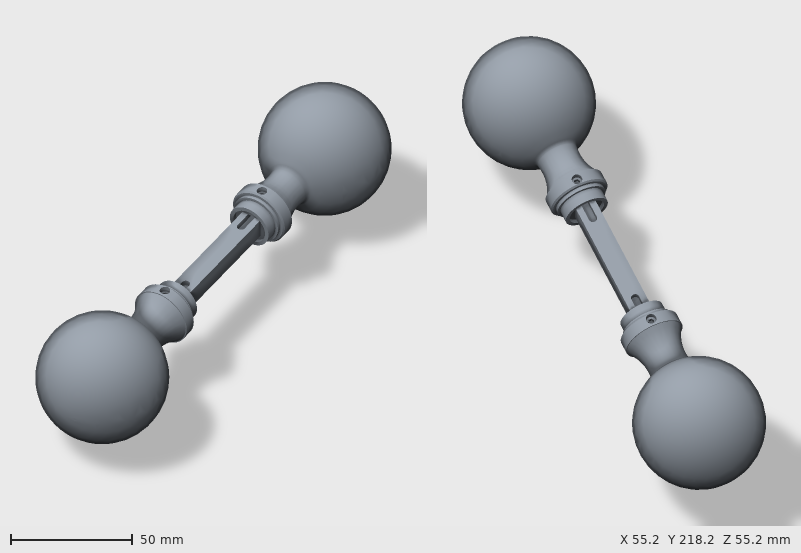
import cadquery as cq
import math

OVERALL_LENGTH = 218.2
BALL_RADIUS = 27.6
BALL_CENTRE = OVERALL_LENGTH / 2 - BALL_RADIUS

SPINDLE_WIDTH = 9.0
SPINDLE_END = 42.5

BUSH_FACE = 26.2
BUSH_RADIUS = 9.5
RECESS_RADIUS = 7.9
RECESS_DEPTH = 1.7
FLANGE_FACE = 31.2
FLANGE_RADIUS = 11.0

COLLAR_FACE = 32.7
COLLAR_BACK = 38.6
COLLAR_RADIUS = 12.9
COLLAR_CHAMFER = 0.7
NECK_WIDE_RADIUS = 12.5
NECK_MIDDLE = 46.0
NECK_RADIUS = 9.2
NECK_FILLET = 1.7

SCREW_RADIUS = 2.2
SCREW_Y = 35.5
SCREW_TOP = 10.3
SOCKET_WIDTH = 2.5
SOCKET_DEPTH = 1.7

POINT_ANGLE = 120.0
POINT_HALF_ANGLE_TAN = math.tan(math.radians(POINT_ANGLE / 2))

GROOVE_END = 18.5
GROOVE_RADIUS = 1.7
GROOVE_WALL_DEPTH = 2.6
SPINDLE_TOP = SPINDLE_WIDTH / 2
GROOVE_SHOULDER = SPINDLE_TOP - GROOVE_WALL_DEPTH
GROOVE_FLOOR = GROOVE_SHOULDER - GROOVE_RADIUS / POINT_HALF_ANGLE_TAN

SIDES = (1, -1)


def turned(outline):
    """Revolve a closed outline of (radius, y) points about the Y axis."""
    return outline.close().revolve(360, (0, 0, 0), (0, 1, 0))


def to_side(body, side):
    """Leave a body on the +Y side, or mirror it to the -Y side."""
    return body if side > 0 else body.mirror("XZ")


def square_bar(start, end):
    """Square bar on the Y axis with the spindle's section."""
    bar = cq.Workplane("XY").box(SPINDLE_WIDTH, end - start, SPINDLE_WIDTH)
    return bar.translate((0, (start + end) / 2, 0))


def drill_point(radius, y, z):
    """Cone pointing down, with its base of the given radius centred at (0, y, z)."""
    height = radius / POINT_HALF_ANGLE_TAN
    return cq.Workplane(cq.Solid.makeCone(radius, 0, height, cq.Vector(0, y, z), cq.Vector(0, 0, -1)))


def pointed_pin(radius, y, bottom, top):
    """Upright cylinder with a drill point below it."""
    pin = cq.Workplane("XY", origin=(0, y, bottom)).circle(radius).extrude(top - bottom)
    return pin.union(drill_point(radius, y, bottom))


def make_groove():
    """Groove with upright walls, a V floor and a round inner end, open at the spindle's end."""
    start = GROOVE_END + GROOVE_RADIUS
    channel = (
        cq.Workplane("XZ", origin=(0, start, 0))
        .moveTo(0, GROOVE_FLOOR)
        .lineTo(GROOVE_RADIUS, GROOVE_SHOULDER)
        .lineTo(GROOVE_RADIUS, SPINDLE_TOP)
        .lineTo(-GROOVE_RADIUS, SPINDLE_TOP)
        .lineTo(-GROOVE_RADIUS, GROOVE_SHOULDER)
        .close()
        .extrude(start - SPINDLE_END)
    )
    return channel.union(pointed_pin(GROOVE_RADIUS, start, GROOVE_SHOULDER, SPINDLE_TOP))


def make_spindle():
    spindle = square_bar(-SPINDLE_END, SPINDLE_END)
    for side in SIDES:
        spindle = spindle.cut(to_side(make_groove(), side))
    return spindle


def make_screw():
    """Grub screw with a hexagon socket, ending in a narrower point that seats in the groove."""
    shank = (
        cq.Workplane("XY", origin=(0, SCREW_Y, SPINDLE_TOP))
        .circle(SCREW_RADIUS)
        .extrude(SCREW_TOP - SPINDLE_TOP)
    )
    socket_floor = SCREW_TOP - SOCKET_DEPTH
    socket = (
        cq.Workplane("XY", origin=(0, SCREW_Y, socket_floor))
        .polygon(6, SOCKET_WIDTH / math.cos(math.pi / 6))
        .extrude(SOCKET_DEPTH)
    )
    tip = pointed_pin(GROOVE_RADIUS, SCREW_Y, GROOVE_SHOULDER, SPINDLE_TOP)
    return shank.union(tip).cut(socket).cut(drill_point(SOCKET_WIDTH / 2, SCREW_Y, socket_floor))


def make_bush():
    """Flanged round bush with a square hole and a round recess in its exposed face."""
    recess_floor = BUSH_FACE + RECESS_DEPTH
    outline = (
        cq.Workplane("XY")
        .moveTo(0, recess_floor)
        .lineTo(RECESS_RADIUS, recess_floor)
        .lineTo(RECESS_RADIUS, BUSH_FACE)
        .lineTo(BUSH_RADIUS, BUSH_FACE)
        .lineTo(BUSH_RADIUS, FLANGE_FACE)
        .lineTo(FLANGE_RADIUS, FLANGE_FACE)
        .lineTo(FLANGE_RADIUS, COLLAR_FACE)
        .lineTo(0, COLLAR_FACE)
    )
    return turned(outline).cut(square_bar(BUSH_FACE, COLLAR_FACE))


def make_knob():
    """Ball, neck, flare and collar in one piece, with the spindle socket and screw hole."""
    neck_end = BALL_CENTRE - math.sqrt(BALL_RADIUS**2 - NECK_RADIUS**2)
    outline = (
        cq.Workplane("XY")
        .moveTo(0, COLLAR_FACE)
        .lineTo(COLLAR_RADIUS - COLLAR_CHAMFER, COLLAR_FACE)
        .lineTo(COLLAR_RADIUS, COLLAR_FACE + COLLAR_CHAMFER)
        .lineTo(COLLAR_RADIUS, COLLAR_BACK)
        .lineTo(NECK_WIDE_RADIUS, COLLAR_BACK)
        .threePointArc((NECK_RADIUS, NECK_MIDDLE), (NECK_RADIUS, neck_end))
        .threePointArc((BALL_RADIUS, BALL_CENTRE), (0, BALL_CENTRE + BALL_RADIUS))
    )
    ball_joint = cq.selectors.BoxSelector(
        (-BALL_RADIUS, neck_end - NECK_FILLET / 2, -BALL_RADIUS),
        (BALL_RADIUS, neck_end + NECK_FILLET / 2, BALL_RADIUS),
    )
    body = turned(outline).edges("%CIRCLE").edges(ball_joint).fillet(NECK_FILLET)
    screw_hole = (
        cq.Workplane("XY", origin=(0, SCREW_Y, 0)).circle(SCREW_RADIUS).extrude(COLLAR_RADIUS)
    )
    return body.cut(square_bar(COLLAR_FACE, SPINDLE_END)).cut(screw_hole)


spindle = make_spindle()
knobs = [to_side(make_knob(), side) for side in SIDES]
bushes = [to_side(make_bush(), side) for side in SIDES]
screws = [to_side(make_screw(), side) for side in SIDES]

result = cq.Compound.makeCompound([body.val() for body in [spindle, *knobs, *bushes, *screws]])